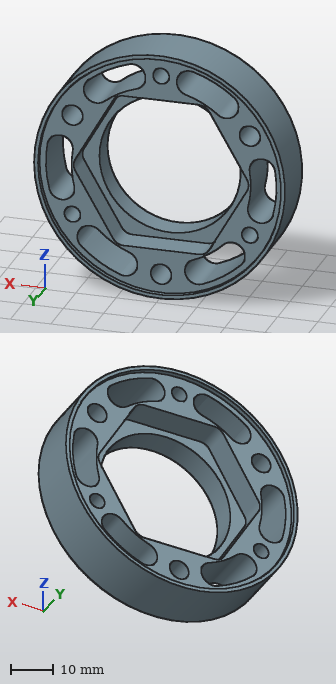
import cadquery as cq
import math

outer_diameter = 62.2
total_depth = 15.0
step_depth = 1.2
step_width = 1.0
step_diameter = outer_diameter - 2 * step_width

bore_diameter = 35.0
bore_depth = 6.6
hex_across_flats = 38.35
hex_corner_radius = 3.0

recess_depth = 1.3
recess_diameter = step_diameter

pitch_radius = 25.4
small_hole_diameter = 4.0
large_hole_diameter = 5.1
slot_width = 6.35
slot_half_angle = 11.5
slot_offset_angle = 27.6
repeat_angles = [90, 210, 330]


def front_plane(depth=0.0):
    """Sketch plane facing -Y, so local x is X, local y is Z and negative extrusions go into the ring."""
    return cq.Workplane("XZ", origin=(0, depth, 0))


def cylinder(diameter, start, end):
    return front_plane(start).circle(diameter / 2).extrude(start - end)


def polar(radius, angle):
    a = math.radians(angle)
    return (radius * math.cos(a), radius * math.sin(a))


def holes(diameter, angles):
    centers = [polar(pitch_radius, angle) for angle in angles]
    return front_plane().pushPoints(centers).circle(diameter / 2).extrude(-total_depth)


def curved_slot(middle_angle):
    first = middle_angle - slot_half_angle
    last = middle_angle + slot_half_angle
    inner = pitch_radius - slot_width / 2
    outer = pitch_radius + slot_width / 2
    end_angle = math.degrees(slot_width / 2 / pitch_radius)
    return (
        front_plane()
        .moveTo(*polar(inner, first))
        .threePointArc(polar(inner, middle_angle), polar(inner, last))
        .threePointArc(polar(pitch_radius, last + end_angle), polar(outer, last))
        .threePointArc(polar(outer, middle_angle), polar(outer, first))
        .threePointArc(polar(pitch_radius, first - end_angle), polar(inner, first))
        .close()
        .extrude(-total_depth)
    )


body = cylinder(outer_diameter, step_depth, total_depth)
body = body.union(cylinder(step_diameter, 0, step_depth))

body = body.cut(cylinder(bore_diameter, 0, total_depth))
hex_corner_diameter = hex_across_flats / math.cos(math.radians(30))
pocket = (
    front_plane(bore_depth)
    .polygon(6, hex_corner_diameter)
    .extrude(bore_depth - total_depth)
    .edges("|Y")
    .fillet(hex_corner_radius)
)
body = body.cut(pocket)

body = body.cut(cylinder(recess_diameter, total_depth - recess_depth, total_depth))

body = body.cut(holes(small_hole_diameter, repeat_angles))
body = body.cut(holes(large_hole_diameter, [angle + 60 for angle in repeat_angles]))

for angle in repeat_angles:
    for side in (-1, 1):
        body = body.cut(curved_slot(angle + side * slot_offset_angle))

result = body